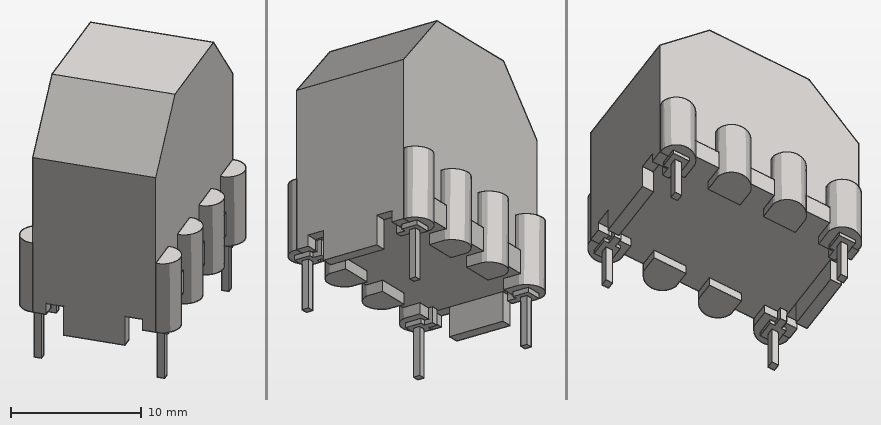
import cadquery as cq

HOUSING_WIDTH = 10.0
HOUSING_LENGTH = 18.0
HOUSING_TOP = 23.0
ROOF_LENGTH = 9.0
SHOULDER_Z = 18.0
END_WALL = 1.0

FOOT_WIDTH = 5.0
FOOT_BOTTOM = 3.0

PLATE_WIDTH = 10.95
PLATE_BOTTOM = 5.5
PLATE_TOP = 7.5
POST_RADIUS = 1.5
POSTS_PER_SIDE = 4
POST_WIDTH = 2.9
POST_BOTTOM = 4.55
POST_TOP = 10.55
POST_INNER_X = 3.9

LEAD_SIZE = 0.6
COLLAR_SIZE = 1.45
STRIP_THICKNESS = 0.41

POST_X = HOUSING_WIDTH / 2
CORNER_POST_Y = HOUSING_LENGTH / 2 - POST_RADIUS
POST_PITCH = 2 * CORNER_POST_Y / (POSTS_PER_SIDE - 1)
PLATE_LENGTH = HOUSING_LENGTH - 2 * END_WALL
COLLAR_BOTTOM = POST_BOTTOM - STRIP_THICKNESS
SIDES = (-1, 1)


def block(x_min, x_max, y_min, y_max, z_min, z_max):
    """A box given by its limits along each axis."""
    size = (x_max - x_min, y_max - y_min, z_max - z_min)
    return cq.Workplane("XY").box(*size, centered=False).translate((x_min, y_min, z_min))


def centred_block(width, length, z_min, z_max):
    """A box centred on the Z axis."""
    return block(-width / 2, width / 2, -length / 2, length / 2, z_min, z_max)


def make_housing():
    """Bevelled block over the plate, with end walls, corner tabs and feet that reach down past it."""
    end_y = HOUSING_LENGTH / 2
    profile = [
        (-end_y, POST_BOTTOM),
        (end_y, POST_BOTTOM),
        (end_y, SHOULDER_Z),
        (ROOF_LENGTH / 2, HOUSING_TOP),
        (-ROOF_LENGTH / 2, HOUSING_TOP),
        (-end_y, SHOULDER_Z),
    ]
    shell = cq.Workplane("YZ").polyline(profile).close().extrude(HOUSING_WIDTH / 2, both=True)
    notches = centred_block(2 * POST_INNER_X, HOUSING_LENGTH, POST_BOTTOM, PLATE_BOTTOM)
    feet = centred_block(FOOT_WIDTH, HOUSING_LENGTH, FOOT_BOTTOM, PLATE_TOP)
    plate_recess = centred_block(PLATE_WIDTH, PLATE_LENGTH, FOOT_BOTTOM, PLATE_TOP)
    return shell.cut(notches).union(feet).cut(plate_recess)


def make_post(y):
    """Post on the +X side: half round with flat flanks beside the housing, carried inward below the plate."""
    half_width = POST_WIDTH / 2
    round_post = (
        cq.Workplane("XY", origin=(POST_X, y, POST_BOTTOM))
        .circle(POST_RADIUS)
        .extrude(POST_TOP - POST_BOTTOM)
    )
    outer_side = block(
        POST_X, POST_X + POST_RADIUS, y - half_width, y + half_width, POST_BOTTOM, POST_TOP
    )
    inner = block(POST_INNER_X, POST_X, y - half_width, y + half_width, POST_BOTTOM, PLATE_BOTTOM)
    return round_post.intersect(outer_side).union(inner)


def make_base(housing):
    """Plate with the two rows of posts, trimmed where the corner tabs of the housing stand."""
    base = centred_block(PLATE_WIDTH, PLATE_LENGTH, PLATE_BOTTOM, PLATE_TOP)
    for i in range(POSTS_PER_SIDE):
        post = make_post(i * POST_PITCH - CORNER_POST_Y)
        base = base.union(post).union(post.mirror("YZ"))
    return base.cut(housing)


def make_terminal(x_side, y_side):
    """Lead, collar and bent strip as one piece, at one corner post."""
    strip_x = POST_INNER_X - STRIP_THICKNESS
    half = LEAD_SIZE / 2
    lead = centred_block(LEAD_SIZE, LEAD_SIZE, 0, COLLAR_BOTTOM).translate((POST_X, 0, 0))
    collar = centred_block(COLLAR_SIZE, COLLAR_SIZE, COLLAR_BOTTOM, POST_BOTTOM).translate((POST_X, 0, 0))
    flat_strip = block(strip_x, POST_X, -half, half, COLLAR_BOTTOM, POST_BOTTOM)
    upright_strip = block(strip_x, POST_INNER_X, -half, half, COLLAR_BOTTOM, PLATE_BOTTOM)
    terminal = lead.union(collar).union(flat_strip).union(upright_strip)
    if x_side < 0:
        terminal = terminal.mirror("YZ")
    return terminal.translate((0, y_side * CORNER_POST_Y, 0))


housing = make_housing()
base = make_base(housing)
terminals = [make_terminal(x_side, y_side) for x_side in SIDES for y_side in SIDES]

result = cq.Compound.makeCompound([housing.val(), base.val(), *[terminal.val() for terminal in terminals]])